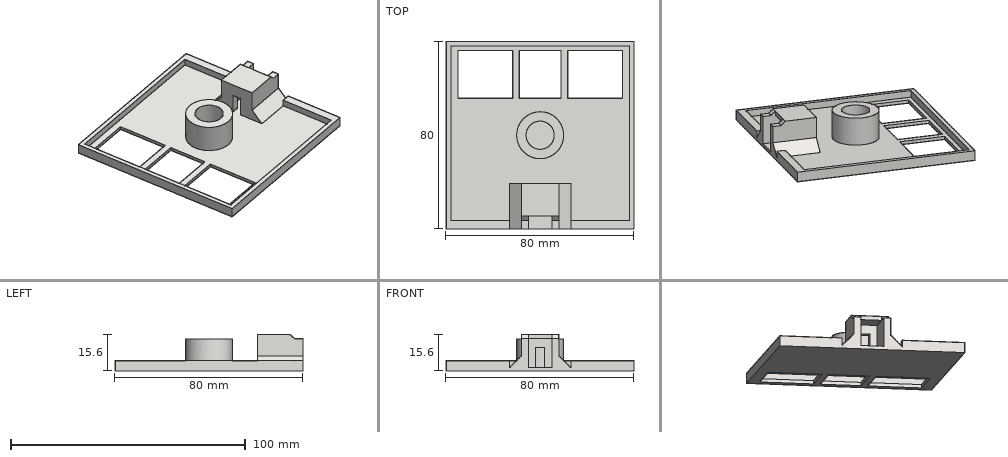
import cadquery as cq

side = 80.0
rim_width = 2.0
front_rim_width = 3.8
rim_height = 4.4
floor_thickness = 1.4
front_y = -side / 2

window_back_gap = 4.0
window_depth = 20.2
centre_window_width = 17.6
side_window_width = 23.2
window_bar_width = 3.0

socket_diameter = 20.0
socket_bore = 12.0
socket_top = 13.7

block_width = 16.0
block_length = 19.5
block_top = 15.6
buttress_size = 5.0
wall_thickness = 3.0
roof_setback = 5.5
cheek_top = 13.8
cheek_length = 3.6
passage_width = 3.8
passage_top = 10.0


def box_between(x_range, y_range, z_range):
    """Axis-aligned box spanning the given coordinate ranges."""
    (x0, x1), (y0, y1), (z0, z1) = x_range, y_range, z_range
    return cq.Workplane("XY").box(x1 - x0, y1 - y0, z1 - z0, centered=False).translate((x0, y0, z0))


def make_tray():
    inner_half = side / 2 - rim_width
    tray = cq.Workplane("XY").rect(side, side).extrude(rim_height)
    cavity = box_between(
        (-inner_half, inner_half),
        (front_y + front_rim_width, inner_half),
        (floor_thickness, rim_height),
    )
    return tray.cut(cavity)


def make_windows():
    y_centre = side / 2 - window_back_gap - window_depth / 2
    side_offset = centre_window_width / 2 + window_bar_width + side_window_width / 2
    through = cq.Workplane("XY", origin=(0, y_centre, 0))
    windows = through.rect(centre_window_width, window_depth).extrude(floor_thickness)
    side_centres = [(-side_offset, 0), (side_offset, 0)]
    side_windows = through.pushPoints(side_centres).rect(side_window_width, window_depth)
    return windows.union(side_windows.extrude(floor_thickness))


def make_socket():
    height = socket_top - floor_thickness
    base = cq.Workplane("XY", origin=(0, 0, floor_thickness))
    return base.circle(socket_diameter / 2).circle(socket_bore / 2).extrude(height)


def make_rim_gap():
    """Opening in the front rim, as wide as the foot of the block."""
    half_foot = block_width / 2 + buttress_size
    return box_between((-half_foot, half_foot), (front_y, front_y + front_rim_width), (floor_thickness, rim_height))


def make_block():
    half_width = block_width / 2
    half_foot = half_width + buttress_size
    buttress_top = floor_thickness + buttress_size
    block_back = front_y + block_length
    block = (
        cq.Workplane("XZ", origin=(0, block_back, 0))
        .moveTo(-half_foot, floor_thickness)
        .lineTo(-half_width, buttress_top)
        .lineTo(-half_width, block_top)
        .lineTo(half_width, block_top)
        .lineTo(half_width, buttress_top)
        .lineTo(half_foot, floor_thickness)
        .close()
        .extrude(block_length)
    )
    step_down = (
        cq.Workplane("YZ", origin=(-half_width, 0, 0))
        .moveTo(front_y, block_top)
        .lineTo(front_y, cheek_top)
        .lineTo(front_y + cheek_length, cheek_top)
        .lineTo(front_y + roof_setback, block_top)
        .close()
        .extrude(block_width)
    )
    half_recess = half_width - wall_thickness
    recess = box_between(
        (-half_recess, half_recess),
        (front_y, block_back - wall_thickness),
        (floor_thickness, cheek_top),
    )
    roof_opening = box_between(
        (-half_recess, half_recess),
        (front_y, front_y + roof_setback),
        (cheek_top, block_top),
    )
    passage = box_between(
        (-passage_width / 2, passage_width / 2),
        (front_y, block_back),
        (floor_thickness, passage_top),
    )
    return block.cut(step_down).cut(recess).cut(roof_opening).cut(passage)


result = (
    make_tray()
    .cut(make_windows())
    .cut(make_rim_gap())
    .union(make_socket())
    .union(make_block())
)